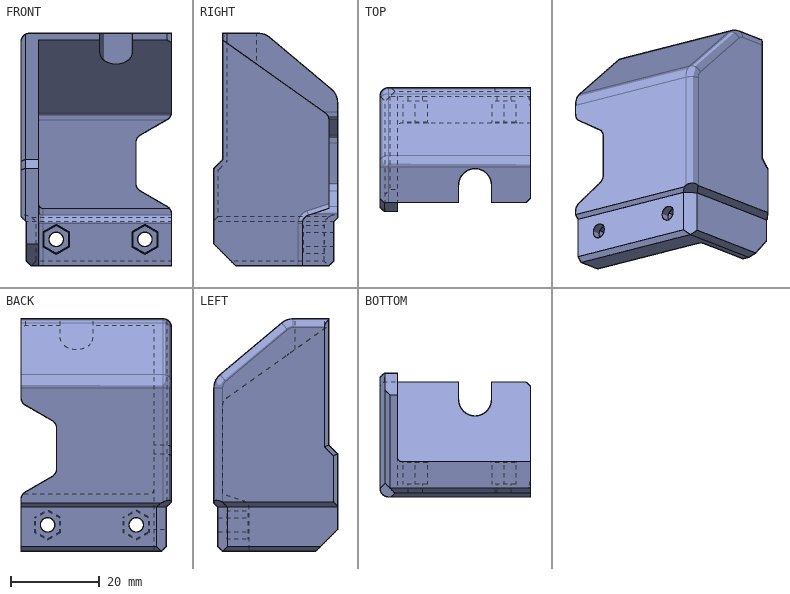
import cadquery as cq
import math


WIDTH = 34.0
DEPTH = 28.0
HEIGHT = 52.5

SIDE_WALL = 4.0
REAR_WALL = 2.0
ROOF = 1.5
HOOD_DEPTH = 26.0
STEP_BOTTOM = 22.0
SLOPE_ANGLE = 40.0
SLOPE_BOTTOM = 38.7
INNER_SLOPE_ANGLE = 35.4
BEND_RADIUS = 4.0
INNER_BEND_RADIUS = 2.0
OUTER_EDGE_RADIUS = 2.0
EDGE_CHAMFER = 1.0
FRONT_CORNER_CHAMFER = 5.0

FOOT_HEIGHT = 10.0
FOOT_SIDE_INSET = 1.2
FOOT_REAR_INSET = 0.9
HOOD_FLARE = 2.1
FOOT_REAR_CHAMFER = 2.2
FOOT_BOTTOM_CHAMFER = 1.1

BLOCK_DEPTH = 8.0
BLOCK_REAR_HEIGHT = 12.95
BLOCK_TOP_ANGLE = 18.3
BLOCK_EDGE_RADIUS = 2.0
BLOCK_ROOT_RADIUS = 1.0

HOLE_DIAMETER = 3.2
HOLE_HEIGHT = 6.0
FIRST_HOLE_X = 8.0
HOLE_PITCH = 20.0
NUT_FLATS = 5.45
NUT_DEPTH = 5.0
NUT_ENTRY_CHAMFER = 0.2

SLOT_X = 21.45
SLOT_WIDTH = 7.35
SLOT_STRAIGHT = 4.0

NOTCH_FLOOR_X = 26.0
NOTCH_MIDDLE = 23.2
NOTCH_FLOOR_HEIGHT = 11.45
NOTCH_FLANK_ANGLE = 30.0
NOTCH_RADIUS = 2.0

MARGIN = 5.25
OVERLAP = 0.5
PICK_GAP = 0.25


def tan_deg(angle):
    return math.tan(math.radians(angle))


def extrude_along_x(points, start, end):
    """Prism between two X positions from an outline of (y, z) points."""
    return cq.Workplane("YZ", origin=(start, 0, 0)).polyline(points).close().extrude(end - start)


def along_x_edge_at(y, z):
    """Selector for the edges parallel to X that pass through (y, z)."""
    return cq.selectors.BoxSelector(
        (-MARGIN, y - PICK_GAP, z - PICK_GAP),
        (WIDTH + MARGIN, y + PICK_GAP, z + PICK_GAP),
    )


def make_hood():
    """Solid envelope of the hood: bent rear and roof, stepped front, rounded outer edge."""
    slope_top_y = -(HEIGHT - SLOPE_BOTTOM) / tan_deg(SLOPE_ANGLE)
    step_top = STEP_BOTTOM + DEPTH - HOOD_DEPTH
    outline = [
        (0, FOOT_HEIGHT),
        (0, SLOPE_BOTTOM),
        (slope_top_y, HEIGHT),
        (-HOOD_DEPTH, HEIGHT),
        (-HOOD_DEPTH, step_top),
        (-DEPTH, STEP_BOTTOM),
        (-DEPTH, FOOT_HEIGHT),
    ]
    hood = extrude_along_x(outline, 0, WIDTH)
    hood = hood.edges(along_x_edge_at(0, SLOPE_BOTTOM)).fillet(BEND_RADIUS)
    hood = hood.edges(along_x_edge_at(slope_top_y, HEIGHT)).fillet(BEND_RADIUS)

    front_edges = cq.selectors.BoxSelector(
        (-PICK_GAP, -DEPTH - PICK_GAP, FOOT_HEIGHT + PICK_GAP),
        (PICK_GAP, -HOOD_DEPTH + PICK_GAP, HEIGHT - PICK_GAP),
    )
    hood = hood.edges(front_edges).chamfer(EDGE_CHAMFER)

    rounded_edges = cq.selectors.BoxSelector(
        (-PICK_GAP, -HOOD_DEPTH + EDGE_CHAMFER + PICK_GAP, FOOT_HEIGHT + PICK_GAP),
        (PICK_GAP, PICK_GAP, HEIGHT + PICK_GAP),
    )
    hood = hood.edges(rounded_edges).fillet(OUTER_EDGE_RADIUS)
    return hood.intersect(make_flare())


def foot_plan(shift):
    """Foot outline in plan, moved outward along -X and +Y and open past the front and the +X end."""
    side_x = FOOT_SIDE_INSET - shift
    rear_y = shift - FOOT_REAR_INSET
    front_y = -DEPTH - MARGIN
    end_x = WIDTH + MARGIN
    return [
        (side_x + FOOT_REAR_CHAMFER, rear_y),
        (side_x, rear_y - FOOT_REAR_CHAMFER),
        (side_x, front_y),
        (end_x, front_y),
        (end_x, rear_y),
    ]


def make_flare():
    """Body that bounds the hood: flares out at 45 degrees from the foot, then rises straight."""
    flare = (
        cq.Workplane("XY", origin=(0, 0, FOOT_HEIGHT))
        .polyline(foot_plan(0))
        .close()
        .workplane(offset=HOOD_FLARE)
        .polyline(foot_plan(HOOD_FLARE))
        .close()
        .loft(ruled=True)
    )
    upper = (
        cq.Workplane("XY", origin=(0, 0, FOOT_HEIGHT + HOOD_FLARE))
        .polyline(foot_plan(HOOD_FLARE))
        .close()
        .extrude(HEIGHT)
    )
    return flare.union(upper)


def make_foot():
    """Solid envelope of the foot, set in from the side and rear of the hood."""
    top = FOOT_HEIGHT + OVERLAP
    side_outline = [
        (-FOOT_REAR_INSET - FOOT_BOTTOM_CHAMFER, 0),
        (-FOOT_REAR_INSET, FOOT_BOTTOM_CHAMFER),
        (-FOOT_REAR_INSET, top),
        (-DEPTH, top),
        (-DEPTH, FRONT_CORNER_CHAMFER),
        (-DEPTH + FRONT_CORNER_CHAMFER, 0),
    ]
    front_outline = [
        (FOOT_SIDE_INSET + FOOT_BOTTOM_CHAMFER, 0),
        (FOOT_SIDE_INSET, FOOT_BOTTOM_CHAMFER),
        (FOOT_SIDE_INSET, top),
        (WIDTH, top),
        (WIDTH, 0),
    ]
    foot = extrude_along_x(side_outline, FOOT_SIDE_INSET, WIDTH)
    foot = foot.intersect(cq.Workplane("XZ").polyline(front_outline).close().extrude(DEPTH))
    return foot.intersect(cq.Workplane("XY").polyline(foot_plan(0)).close().extrude(top))


def make_cavity():
    """Open space in front of the rear wall, between the block and the roof."""
    rear_y = -REAR_WALL
    block_edge_height = BLOCK_REAR_HEIGHT - (BLOCK_DEPTH - REAR_WALL) * tan_deg(BLOCK_TOP_ANGLE)
    roof_underside = HEIGHT - ROOF
    inner_bend_height = roof_underside - (HOOD_DEPTH - REAR_WALL) * tan_deg(INNER_SLOPE_ANGLE)
    front_y = -DEPTH - MARGIN
    outline = [
        (-BLOCK_DEPTH, -MARGIN),
        (-BLOCK_DEPTH, block_edge_height),
        (rear_y, BLOCK_REAR_HEIGHT),
        (rear_y, inner_bend_height),
        (-HOOD_DEPTH, roof_underside),
        (front_y, roof_underside),
        (front_y, -MARGIN),
    ]
    cavity = extrude_along_x(outline, SIDE_WALL, WIDTH + MARGIN)
    cavity = cavity.edges(along_x_edge_at(rear_y, inner_bend_height)).fillet(INNER_BEND_RADIUS)
    cavity = cavity.edges(along_x_edge_at(-BLOCK_DEPTH, block_edge_height)).fillet(BLOCK_EDGE_RADIUS)

    root_edges = cq.selectors.BoxSelector(
        (SIDE_WALL - PICK_GAP, -BLOCK_DEPTH - PICK_GAP, -MARGIN),
        (SIDE_WALL + PICK_GAP, -REAR_WALL - PICK_GAP, BLOCK_REAR_HEIGHT),
    )
    return cavity.edges(root_edges).fillet(BLOCK_ROOT_RADIUS)


def make_nut_hole(x):
    """Screw hole through the block with a chamfered hexagonal nut pocket at its front."""
    flats_to_corners = 1 / math.cos(math.pi / 6)
    pocket_corners = NUT_FLATS * flats_to_corners
    entry_corners = (NUT_FLATS + 2 * NUT_ENTRY_CHAMFER) * flats_to_corners
    front = cq.Workplane("XZ", origin=(x, -BLOCK_DEPTH, HOLE_HEIGHT))
    corner_up = front.transformed(rotate=(0, 0, 90))
    hole = front.circle(HOLE_DIAMETER / 2).extrude(-BLOCK_DEPTH)
    pocket = corner_up.polygon(6, pocket_corners).extrude(-NUT_DEPTH)
    entry = (
        corner_up.polygon(6, entry_corners)
        .workplane(offset=-NUT_ENTRY_CHAMFER)
        .polygon(6, pocket_corners)
        .loft(ruled=True)
    )
    return hole.union(pocket).union(entry)


def make_roof_slot():
    """Round-ended slot that enters the roof from the front."""
    radius = SLOT_WIDTH / 2
    end_y = -HOOD_DEPTH + SLOT_STRAIGHT
    return (
        cq.Workplane("XY", origin=(0, 0, STEP_BOTTOM + MARGIN))
        .moveTo(SLOT_X - radius, -DEPTH)
        .lineTo(SLOT_X - radius, end_y)
        .threePointArc((SLOT_X, end_y + radius), (SLOT_X + radius, end_y))
        .lineTo(SLOT_X + radius, -DEPTH)
        .close()
        .extrude(HEIGHT)
    )


def make_notch():
    """Flared notch through the rear wall, its four corners rounded."""
    half_floor = NOTCH_FLOOR_HEIGHT / 2
    half_mouth = half_floor + (WIDTH - NOTCH_FLOOR_X) * tan_deg(NOTCH_FLANK_ANGLE)
    half_clearance = half_mouth + MARGIN
    outside_x = WIDTH + MARGIN
    notch = (
        cq.Workplane("XZ", origin=(0, MARGIN, NOTCH_MIDDLE))
        .polyline(
            [
                (NOTCH_FLOOR_X, -half_floor),
                (NOTCH_FLOOR_X, half_floor),
                (WIDTH, half_mouth),
                (WIDTH, half_clearance),
                (outside_x, half_clearance),
                (outside_x, -half_clearance),
                (WIDTH, -half_clearance),
                (WIDTH, -half_mouth),
            ]
        )
        .close()
        .extrude(DEPTH + 2 * MARGIN)
    )
    rounded_edges = cq.selectors.BoxSelector(
        (NOTCH_FLOOR_X - PICK_GAP, -DEPTH - MARGIN, NOTCH_MIDDLE - half_mouth - PICK_GAP),
        (WIDTH + PICK_GAP, MARGIN, NOTCH_MIDDLE + half_mouth + PICK_GAP),
    )
    return notch.edges("|Y").edges(rounded_edges).fillet(NOTCH_RADIUS)


part = make_hood().union(make_foot()).cut(make_cavity())
part = part.edges("|Z").edges(">X").edges("<Y").chamfer(EDGE_CHAMFER)
part = part.cut(make_roof_slot()).cut(make_notch())
for hole_x in (FIRST_HOLE_X, FIRST_HOLE_X + HOLE_PITCH):
    part = part.cut(make_nut_hole(hole_x))

result = part